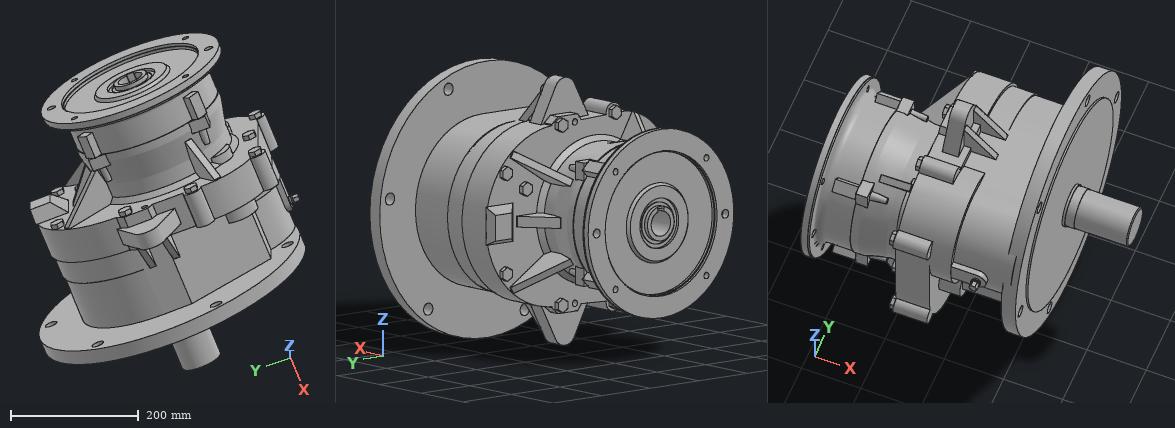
import cadquery as cq
import math


adapter_rim_end = 11.5
adapter_flange_end = 14.5
joint_x = 71.5
band_end = 85.0
cone_end = 128.5
plate_front = 160.5
plate_seam = 175.0
plate_back = 218.3
lobe_step = 254.0
case_step = 258.0
flange_front = 338.5
flange_back = 363.0
spigot_end = 366.0
shaft_end = 475.5
overall_y = 455.0

input_y = -69.0
adapter_flange_d = 300.0
adapter_step_d = 297.0
adapter_body_r = 119.0
adapter_fillet = 13.5
pilot_d = 230.0
pilot_depth = 4.8
inner_pilot_d = 226.5
inner_pilot_depth = 9.5
seal_boss_base_d = 127.0
seal_boss_d = 119.5
seal_boss_front = 4.5
hub_pocket_d = 80.0
hub_pocket_depth = 9.0
hub_shoulder_d = 66.5
hub_shoulder_height = 1.5
hub_d = 55.0
hub_front = 0.5
hub_bore_d = 40.0
hub_bore_depth = 57.0
hub_key_width = 12.0
hub_key_top = 24.3
motor_bolt_r = 132.0
motor_bolt_d = 10.0
motor_side_hole_d = 14.0

adapter_lug_start = 33.0
adapter_lug_outer = 101.5
adapter_lug_edge = 86.5
adapter_lug_root = 19.0
unit_lug_outer = 98.0
unit_lug_edge = 68.5
unit_lug_end = 91.5
nose_center = 82.5
nose_r = 9.5
nose_end = 119.0

band_r = 120.5
neck_r = 110.5
neck_foot_r = 119.0
neck_foot_start = 152.0
side_rib = [(105.5, 116.5), (159.0, 159.5)]
wide_rib = [(98.0, 115.5), (159.0, 201.5)]
short_rib = [(97.0, 119.0), (159.0, 168.5)]
wide_rib_angle = 32.4
short_rib_angle = 120
side_rib_thickness = 17.0
rib_thickness = 12.0
rib_overlap = 19.0

main_y = 9.5
plate_r = 144.0
case_r = 137.0
case_step_y = main_y + 3.0
lobe_y = -125.5
lobe_z = 54.0
lobe_plate_r = 95.0
lobe_case_r = 86.0
lobe_case_end = 352.0
case_top_z = case_r
case_side_y = -171.0
case_side_bottom_z = -62.5
case_slope_end_y = -38.0
low_boss_y = -152.0
low_boss_z = -57.5
low_boss_r = 31.0

ear_top = (-109.0, 150.5)
ear_side = (-217.0, 91.5)
ear_r = 15.0
head_flats = 19.5
head_height = 7.5
plate_bolts = [(1.5, 143.0), (1.5, -143.0), (115.5, 80.0), (115.5, -80.0), (74.5, 50.5), (-207.0, 0.0)]
bump_foot_y = (18.0, -43.5)
bump_crest_y = (5.0, -34.5)
bump_foot_z = 145.5
bump_crest_z = 156.5
bump_root_z = 139.5
bump_outline = [
    (bump_foot_y[0], bump_root_z),
    (bump_foot_y[0], bump_foot_z),
    (bump_crest_y[0], bump_crest_z),
    (bump_crest_y[1], bump_crest_z),
    (bump_foot_y[1], bump_foot_z),
    (bump_foot_y[1], bump_root_z),
]
dowel_place = (-29.5, 144.0)
dowel_d = 10.0
cap_places = [(lobe_y, lobe_z, 51.5), (-152.0, -52.5, 26.0)]
cap_front = 145.5

lug_y = -25.0
lug_top_z = 213.0
lug_tip_r = 22.0
lug_base_half = 51.5
lug_base_z = 140.5
lug_start = 179.5
lug_end = 206.5
web_centers_y = (-4.5, -43.7)
web_thickness = 10.5
web_top_z = 191.0
web_end = 260.0

block_front = 137.5
block_outer_y = 154.0
block_inner_y = 120.5
block_foot_y = 98.5
block_half = 30.5
block_face_half = 20.5

output_flange_d = 440.0
spigot_d = 353.0
output_hole_d = 19.0
output_hole_r = 200.0
output_hole_count = 6
output_hole_start = 6.9
collar_d = 70.0
collar_end = 370.5
shaft_step_d = 66.5
shaft_step_end = 385.5
shaft_d = 65.0
shaft_chamfer = 2.0

pad_x = 297.0
pad_z = 54.5
pad_r = 15.5
pad_y = -219.5
plug_neck_d = 13.0
plug_neck_y = -223.0
plug_washer_d = 15.5
plug_washer_y = -225.5
plug_hex_d = 14.0
plug_end_y = output_flange_d / 2 - overall_y


def disc(y, z, radius, start, end):
    """Cylinder along X centred on (y, z)."""
    return cq.Workplane("YZ", origin=(start, y, z)).circle(radius).extrude(end - start)


def prism(points, start, end):
    """Prism along X with a polygon outline of (y, z) points."""
    return cq.Workplane("YZ", origin=(start, 0, 0)).polyline(points).close().extrude(end - start)


def mirrored(shape):
    """The shape together with its mirror image below Z = 0."""
    return shape.union(shape.mirror("XY"))


def bolt_head(y, z):
    """Hexagon head on the front plate, one corner pointing up."""
    corners_d = head_flats / math.cos(math.pi / 6)
    head = cq.Workplane("YZ", origin=(plate_front - head_height, y, z))
    return head.transformed(rotate=(0, 0, 90)).polygon(6, corners_d).extrude(head_height)


def corner_blocks(points, start, end):
    """The same prism at all four corners around the motor axis."""
    blocks = cq.Workplane("YZ")
    for side_y in (1, -1):
        for side_z in (1, -1):
            outline = [(input_y + side_y * u, side_z * v) for u, v in points]
            blocks = blocks.add(prism(outline, start, end))
    return blocks.combine()


def radial_rib(angle, foot, tip, thickness):
    """Rib from foot to tip, both (X, distance from the motor axis), at an angle from +Y toward +Z."""
    outline = [foot, tip, (plate_front, tip[1]), (plate_front, foot[1] - rib_overlap),
               (foot[0], foot[1] - rib_overlap)]
    rib = cq.Workplane("XY").polyline(outline).close().extrude(thickness / 2, both=True)
    return rib.rotate((0, 0, 0), (1, 0, 0), angle).translate((0, input_y, 0))


def make_adapter():
    """Motor adapter: flange, body, corner lugs, stepped pilot and keyed hub."""
    fillet_end = adapter_flange_end + adapter_fillet
    fillet_r = adapter_body_r + adapter_fillet
    bend = adapter_fillet * (1 - math.sqrt(0.5))
    profile = (
        cq.Workplane("XY")
        .moveTo(0, 0)
        .lineTo(0, adapter_flange_d / 2)
        .lineTo(adapter_rim_end, adapter_flange_d / 2)
        .lineTo(adapter_rim_end, adapter_step_d / 2)
        .lineTo(adapter_flange_end, adapter_step_d / 2)
        .lineTo(adapter_flange_end, fillet_r)
        .threePointArc((adapter_flange_end + bend, adapter_body_r + bend), (fillet_end, adapter_body_r))
        .lineTo(joint_x, adapter_body_r)
        .lineTo(joint_x, 0)
        .close()
    )
    body = profile.revolve(360, (0, 0, 0), (1, 0, 0)).translate((0, input_y, 0))
    lug_outline = [
        (adapter_lug_outer, adapter_lug_edge),
        (adapter_lug_edge, adapter_lug_outer),
        (adapter_lug_edge - adapter_lug_root, adapter_lug_outer - adapter_lug_root),
        (adapter_lug_outer - adapter_lug_root, adapter_lug_edge - adapter_lug_root),
    ]
    body = body.union(corner_blocks(lug_outline, adapter_lug_start, joint_x))

    body = body.cut(disc(input_y, 0, pilot_d / 2, 0, pilot_depth))
    body = body.cut(disc(input_y, 0, inner_pilot_d / 2, 0, inner_pilot_depth))
    seal_boss = (
        cq.Workplane("YZ", origin=(seal_boss_front, input_y, 0))
        .circle(seal_boss_d / 2)
        .workplane(offset=inner_pilot_depth - seal_boss_front)
        .circle(seal_boss_base_d / 2)
        .loft()
    )
    body = body.union(seal_boss)
    body = body.cut(disc(input_y, 0, hub_pocket_d / 2, 0, hub_pocket_depth))

    shoulder_start = hub_pocket_depth - hub_shoulder_height
    body = body.union(disc(input_y, 0, hub_shoulder_d / 2, shoulder_start, joint_x))
    body = body.union(disc(input_y, 0, hub_d / 2, hub_front, joint_x))
    body = body.cut(disc(input_y, 0, hub_bore_d / 2, 0, hub_bore_depth))
    keyway = cq.Workplane("XY").box(hub_bore_depth, hub_key_width, hub_key_top, centered=(False, True, False))
    body = body.cut(keyway.translate((0, input_y, 0)))

    holes = [(45 + 90 * i, motor_bolt_d) for i in range(4)]
    holes += [(0, motor_side_hole_d), (180, motor_side_hole_d)]
    for angle, diameter in holes:
        y = input_y + motor_bolt_r * math.cos(math.radians(angle))
        z = motor_bolt_r * math.sin(math.radians(angle))
        body = body.cut(disc(y, z, diameter / 2, 0, adapter_lug_start))
    return body


def make_neck():
    """Conical neck between the joint and the front plate, with bolt lugs and a flared foot."""
    profile = (
        cq.Workplane("XY")
        .moveTo(joint_x, 0)
        .lineTo(joint_x, band_r)
        .lineTo(band_end, band_r)
        .lineTo(cone_end, neck_r)
        .lineTo(neck_foot_start, neck_r)
        .lineTo(plate_front, neck_foot_r)
        .lineTo(plate_front, 0)
        .close()
    )
    neck = profile.revolve(360, (0, 0, 0), (1, 0, 0)).translate((0, input_y, 0))
    lug_outline = [
        (unit_lug_edge, unit_lug_edge),
        (unit_lug_outer, unit_lug_edge),
        (unit_lug_outer, unit_lug_outer),
        (unit_lug_edge, unit_lug_outer),
    ]
    neck = neck.union(corner_blocks(lug_outline, joint_x, unit_lug_end))
    for side_y in (1, -1):
        nose = (
            cq.Workplane("YZ", origin=(joint_x, input_y + side_y * nose_center, nose_center))
            .circle(nose_r)
            .workplane(offset=nose_end - joint_x)
            .circle(nose_r / 2)
            .loft()
        )
        neck = neck.union(mirrored(nose))
    return neck


def make_ribs():
    """Stiffening ribs between the neck and the front plate."""
    ribs = radial_rib(0, *side_rib, side_rib_thickness)
    for turn in (1, -1):
        ribs = ribs.union(radial_rib(turn * wide_rib_angle, *wide_rib, rib_thickness))
        ribs = ribs.union(radial_rib(turn * short_rib_angle, *short_rib, rib_thickness))
    return ribs


def make_plate():
    """Front part of the case, symmetric about Z = 0, with ears, bumps and caps."""
    side_y = lobe_y - lobe_plate_r
    top_z = lobe_z + lobe_plate_r
    fill = [(main_y, plate_r), (lobe_y, top_z), (lobe_y, lobe_z), (side_y, lobe_z), (side_y, 0), (main_y, 0)]
    half = prism(fill, plate_front, plate_back)
    half = half.union(disc(lobe_y, lobe_z, lobe_plate_r, plate_front, plate_back))
    for y, z in (ear_top, ear_side):
        half = half.union(disc(y, z, ear_r, plate_front, plate_back))
    half = half.union(prism(bump_outline, plate_front, plate_back))
    half = half.cut(disc(*dowel_place, dowel_d / 2, plate_front, plate_seam))
    plate = mirrored(half).union(disc(main_y, 0, plate_r, plate_front, plate_back))
    for y, z, radius in cap_places:
        plate = plate.union(disc(y, z, radius, cap_front, plate_front))
    ear_bolts = [(y, side * z) for y, z in (ear_top, ear_side) for side in (1, -1)]
    for y, z in plate_bolts + ear_bolts:
        plate = plate.union(bolt_head(y, z))
    return plate


def make_case():
    """Rear part of the case: main barrel, gear lobe, flat sides and a low boss."""
    corner = (case_side_y, case_side_bottom_z)
    fill = [(main_y, 0), (main_y, case_top_z), (lobe_y, case_top_z), (lobe_y, lobe_z),
            (case_side_y, lobe_z), corner, (case_slope_end_y, -case_r), (main_y, -case_r)]
    case = prism(fill, plate_back, flange_front)
    case = case.union(disc(main_y, 0, case_r, plate_back, flange_front))
    case = case.union(disc(case_step_y, 0, case_r, plate_back, case_step))
    case = case.union(disc(lobe_y, lobe_z, lobe_case_r, plate_back, lobe_case_end))
    case = case.union(disc(lobe_y, lobe_z, lobe_plate_r, plate_back, lobe_step))
    return case.union(disc(low_boss_y, low_boss_z, low_boss_r, plate_back, lobe_step))


def make_lifting_lugs():
    """Rounded triangular lugs above and below, each backed by two sloping webs."""
    tip_z = lug_top_z - lug_tip_r
    rise = tip_z - lug_base_z
    reach = math.hypot(lug_base_half, rise)
    angle = math.acos(lug_tip_r / reach) - math.atan2(rise, lug_base_half)
    side_y = lug_tip_r * math.cos(angle)
    side_z = tip_z + lug_tip_r * math.sin(angle)
    lug = (
        cq.Workplane("YZ", origin=(lug_start, 0, 0))
        .moveTo(lug_y - lug_base_half, 0)
        .lineTo(lug_y - lug_base_half, lug_base_z)
        .lineTo(lug_y - side_y, side_z)
        .threePointArc((lug_y, lug_top_z), (lug_y + side_y, side_z))
        .lineTo(lug_y + lug_base_half, lug_base_z)
        .lineTo(lug_y + lug_base_half, 0)
        .close()
        .extrude(lug_end - lug_start)
    )
    web_outline = [(lug_end, 0), (lug_end, web_top_z), (web_end, case_top_z), (web_end, 0)]
    for y in web_centers_y:
        web = cq.Workplane("XZ", origin=(0, y, 0)).polyline(web_outline).close()
        lug = lug.union(web.extrude(web_thickness / 2, both=True))
    return mirrored(lug)


def make_side_block():
    """Block on the plate's +Y side with sloping flanks and a chamfered inner end."""
    flanks = [(plate_front, block_half), (block_front, block_face_half),
              (block_front, -block_face_half), (plate_front, -block_half)]
    outline = [(plate_front, block_foot_y), (block_front, block_inner_y),
               (block_front, block_outer_y), (plate_front, block_outer_y)]
    block = cq.Workplane("XZ").polyline(flanks).close().extrude(-block_outer_y)
    return block.intersect(cq.Workplane("XY").polyline(outline).close().extrude(block_half, both=True))


def make_output_flange():
    """Round flange with a spigot and a ring of holes."""
    flange = disc(0, 0, output_flange_d / 2, flange_front, flange_back)
    flange = flange.union(disc(0, 0, spigot_d / 2, flange_back, spigot_end))
    for i in range(output_hole_count):
        angle = math.radians(output_hole_start + 360 / output_hole_count * i)
        y = output_hole_r * math.cos(angle)
        z = output_hole_r * math.sin(angle)
        flange = flange.cut(disc(y, z, output_hole_d / 2, flange_front, flange_back))
    return flange


def make_output_shaft():
    """Stepped shaft end with a chamfered tip."""
    shaft = disc(0, 0, shaft_d / 2, spigot_end, shaft_end).faces(">X").chamfer(shaft_chamfer)
    shaft = shaft.union(disc(0, 0, shaft_step_d / 2, spigot_end, shaft_step_end))
    return shaft.union(disc(0, 0, collar_d / 2, spigot_end, collar_end))


def make_oil_plug():
    """Round-ended pad on the lobe carrying a hexagon plug that points toward -Y."""
    pad = (
        cq.Workplane("XZ", origin=(0, lobe_y, 0))
        .moveTo(lobe_step, pad_z - pad_r)
        .lineTo(pad_x, pad_z - pad_r)
        .threePointArc((pad_x + pad_r, pad_z), (pad_x, pad_z + pad_r))
        .lineTo(lobe_step, pad_z + pad_r)
        .close()
        .extrude(lobe_y - pad_y)
    )
    neck = cq.Workplane("XZ", origin=(pad_x, pad_y, pad_z)).circle(plug_neck_d / 2)
    neck = neck.extrude(pad_y - plug_neck_y)
    washer = cq.Workplane("XZ", origin=(pad_x, plug_neck_y, pad_z)).circle(plug_washer_d / 2)
    washer = washer.extrude(plug_neck_y - plug_washer_y)
    head = cq.Workplane("XZ", origin=(pad_x, plug_washer_y, pad_z)).polygon(6, plug_hex_d)
    head = head.extrude(plug_washer_y - plug_end_y)
    return pad.union(neck).union(washer).union(head)


def make_gear_unit():
    """Complete gear unit as one solid."""
    unit = make_neck().union(make_ribs()).union(make_plate()).union(make_case())
    unit = unit.union(make_lifting_lugs()).union(make_side_block()).union(make_output_flange())
    return unit.union(make_output_shaft()).union(make_oil_plug())


adapter = make_adapter()
gear_unit = make_gear_unit()
result = cq.Compound.makeCompound([adapter.solids().val(), gear_unit.solids().val()])